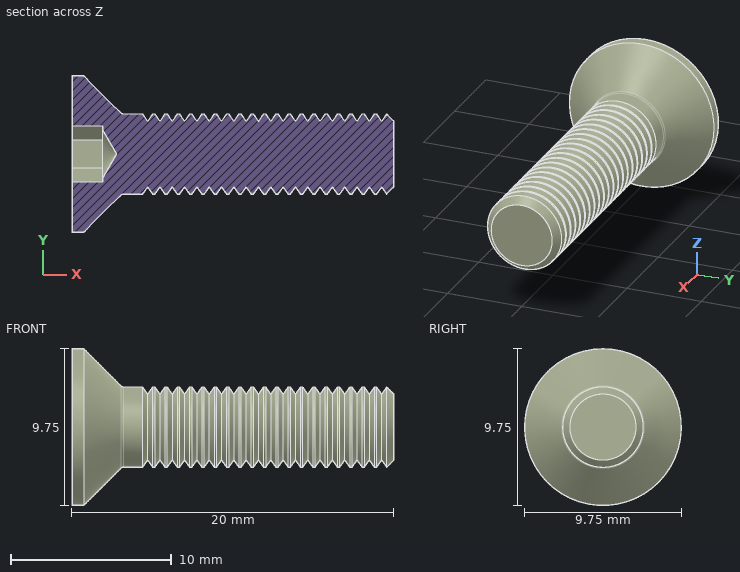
import cadquery as cq
import math

total_length = 20.0
head_diameter = 9.75
head_rim_length = 0.73
shank_diameter = 5.0
cone_angle = math.radians(45)
neck_fillet_radius = 0.2

thread_start = 4.384
groove_count = 20
thread_depth = 0.445
crest_width = 0.137

socket_across_flats = 3.0
socket_depth = 1.9
drill_point_angle = math.radians(120)

head_radius = head_diameter / 2
shank_radius = shank_diameter / 2
root_radius = shank_radius - thread_depth
cone_end = head_rim_length + (head_radius - shank_radius) / math.tan(cone_angle)
tip_chamfer_start = total_length - thread_depth
thread_length = tip_chamfer_start - thread_start
groove_pitch = (thread_length + crest_width) / groove_count
groove_width = groove_pitch - crest_width


def revolve_about_axis(profile):
    """Turn a closed profile a full turn about the screw axis."""
    return profile.revolve(360, (0, 0, 0), (1, 0, 0))


def make_blank():
    """Countersunk head, filleted neck, plain shank and 45 degree tip chamfer."""
    tangent_length = neck_fillet_radius * math.tan(cone_angle / 2)
    fillet_start = (
        cone_end - tangent_length * math.cos(cone_angle),
        shank_radius + tangent_length * math.sin(cone_angle),
    )
    fillet_end = (cone_end + tangent_length, shank_radius)
    fillet_middle = (
        fillet_end[0] - neck_fillet_radius * math.sin(cone_angle / 2),
        shank_radius + neck_fillet_radius * (1 - math.cos(cone_angle / 2)),
    )
    profile = (
        cq.Workplane("XZ")
        .moveTo(0, 0)
        .lineTo(0, head_radius)
        .lineTo(head_rim_length, head_radius)
        .lineTo(*fillet_start)
        .threePointArc(fillet_middle, fillet_end)
        .lineTo(tip_chamfer_start, shank_radius)
        .lineTo(total_length, root_radius)
        .lineTo(total_length, 0)
        .close()
    )
    return revolve_about_axis(profile)


def make_groove(start):
    """V-shaped ring that begins at X = start and reaches down to the root radius."""
    profile = (
        cq.Workplane("XY")
        .moveTo(start, -shank_radius)
        .lineTo(start + groove_width / 2, -root_radius)
        .lineTo(start + groove_width, -shank_radius)
        .close()
    )
    return revolve_about_axis(profile)


def cut_thread(body):
    """Cut evenly spaced grooves; the last one meets the tip chamfer in a sharp edge."""
    for index in range(groove_count):
        body = body.cut(make_groove(thread_start + index * groove_pitch))
    return body


def make_socket():
    """Hexagonal recess with flats facing +Z and -Z, ending in a conical drill point."""
    across_corners = socket_across_flats / math.cos(math.pi / 6)
    hexagon = cq.Workplane("YZ").polygon(6, across_corners).extrude(socket_depth)
    drill_radius = socket_across_flats / 2
    point_depth = drill_radius / math.tan(drill_point_angle / 2)
    point_profile = (
        cq.Workplane("XZ")
        .moveTo(socket_depth, 0)
        .lineTo(socket_depth, drill_radius)
        .lineTo(socket_depth + point_depth, 0)
        .close()
    )
    return hexagon.union(revolve_about_axis(point_profile))


result = cut_thread(make_blank()).cut(make_socket())